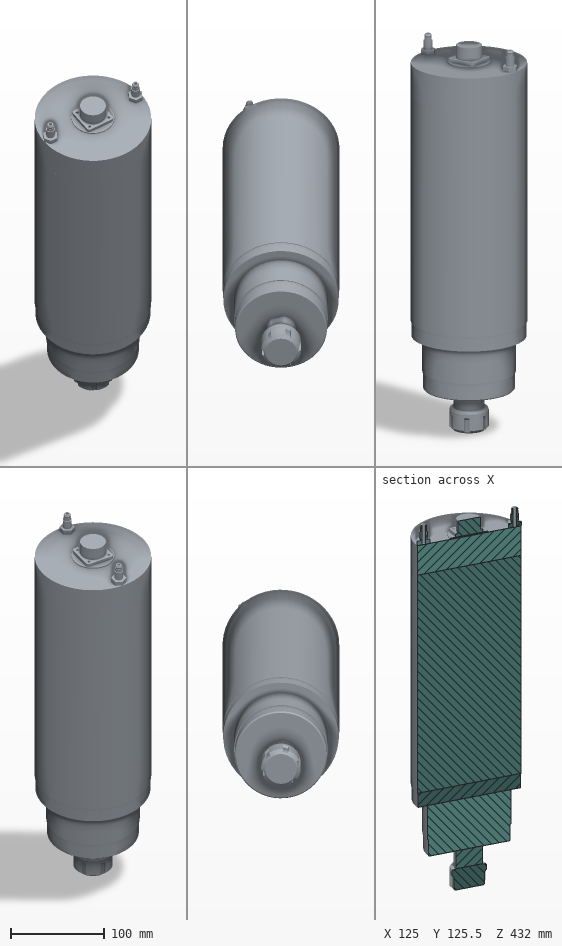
import cadquery as cq
import math

nut_top = 24.5
collar_top = 31.0
nose_bottom = 45.5
nose_step = 65.0
flange_bottom = 104.5
tube_bottom = 121.0
cap_bottom = 374.5
cap_top = 409.5
overall_height = 432.0

housing_diameter = 125.0
housing_radius = housing_diameter / 2
flange_radius = 61.8
nose_radius = 50.0
nose_tip_radius = 49.2
nose_tip_chamfer = 1.5

shaft_radius = 17.0
collar_radius = 16.5
shaft_across_flats = 30.2
shaft_flat_angle = 22.0

nut_radius = 21.0
nut_bottom_chamfer_height = 4.0
nut_bottom_chamfer_width = 4.5
nut_top_chamfer_height = 2.5
nut_top_chamfer_width = 1.0
slot_count = 6
slot_width = 6.0
slot_depth = 2.5
slot_height = 18.0

gasket_radius = 23.0
gasket_thickness = 1.5
plate_size = 33.0
plate_thickness = 4.0
plate_corner_radius = 2.5
plate_hole_diameter = 3.0
plate_hole_spacing = 24.5
socket_radius = 14.0
socket_top = 429.0

fitting_offset = 54.5
fitting_hex_across_flats = 14.3
fitting_hex_height = 5.0
hex_sides = 6
fitting_neck_radius = 4.5
fitting_body_radius = 4.8
fitting_body_bottom = 417.0
fitting_body_top = 424.5
fitting_stem_radius = 4.0
fitting_stem_top = 428.0
fitting_groove_radius = 3.5
fitting_tip_radius = 3.0
fitting_tip_bevel_height = 1.7
fitting_bore_radius = 1.7


def cylinder(radius, bottom, top):
    """Upright cylinder on the spindle axis."""
    return cq.Workplane("XY").workplane(offset=bottom).circle(radius).extrude(top - bottom)


def make_nose():
    """Stepped bearing nose with a small chamfer on its lower rim."""
    upper = cylinder(nose_radius, nose_step, flange_bottom)
    tip = cylinder(nose_tip_radius, nose_bottom, nose_step)
    tip = tip.faces("<Z").edges().chamfer(nose_tip_chamfer)
    return upper.union(tip)


def make_shaft():
    """Round shaft with two wrench flats above a slightly narrower collar."""
    collar = cylinder(collar_radius, nut_top, collar_top)
    flat_length = nose_bottom - collar_top
    flats = (
        cq.Workplane("XY")
        .workplane(offset=collar_top)
        .rect(2 * shaft_radius, shaft_across_flats)
        .extrude(flat_length)
        .rotate((0, 0, 0), (0, 0, 1), shaft_flat_angle)
    )
    return collar.union(cylinder(shaft_radius, collar_top, nose_bottom).intersect(flats))


def make_nut():
    """Collet nut with chamfered rims and spanner slots whose upper ends slope outward."""
    nut = (
        cq.Workplane("XZ")
        .moveTo(0, 0)
        .lineTo(nut_radius - nut_bottom_chamfer_width, 0)
        .lineTo(nut_radius, nut_bottom_chamfer_height)
        .lineTo(nut_radius, nut_top - nut_top_chamfer_height)
        .lineTo(nut_radius - nut_top_chamfer_width, nut_top)
        .lineTo(0, nut_top)
        .close()
        .revolve(360, (0, 0, 0), (0, 1, 0))
    )
    floor = nut_radius - slot_depth
    slot = (
        cq.Workplane("XZ")
        .moveTo(floor, 0)
        .lineTo(nut_radius, 0)
        .lineTo(nut_radius, slot_height)
        .lineTo(floor, slot_height - slot_depth)
        .close()
        .extrude(slot_width / 2, both=True)
    )
    first_slot_angle = 90
    for index in range(slot_count):
        angle = first_slot_angle + index * 360 / slot_count
        nut = nut.cut(slot.rotate((0, 0, 0), (0, 0, 1), angle))
    return nut


def make_connector():
    """Socket on a square plate with four screw holes."""
    plate_bottom = cap_top + gasket_thickness
    plate = (
        cq.Workplane("XY")
        .workplane(offset=plate_bottom)
        .rect(plate_size, plate_size)
        .extrude(plate_thickness)
        .edges("|Z")
        .fillet(plate_corner_radius)
        .faces(">Z")
        .workplane()
        .rect(plate_hole_spacing, plate_hole_spacing, forConstruction=True)
        .vertices()
        .hole(plate_hole_diameter)
    )
    return plate.union(cylinder(socket_radius, plate_bottom, socket_top))


def make_fitting(y):
    """Hose fitting with a bore through it: hexagon base, round body and barbed stem.

    Two corners of the hexagon point along Y.
    """
    hex_top = cap_top + fitting_hex_height
    hex_base = (
        cq.Workplane("XY")
        .workplane(offset=cap_top)
        .polygon(hex_sides, fitting_hex_across_flats / math.cos(math.pi / hex_sides))
        .extrude(fitting_hex_height)
        .rotate((0, 0, 0), (0, 0, 1), 90)
    )
    bevel_bottom = overall_height - fitting_tip_bevel_height
    stem = (
        cq.Workplane("XZ")
        .moveTo(0, hex_top)
        .lineTo(fitting_neck_radius, hex_top)
        .lineTo(fitting_neck_radius, fitting_body_bottom)
        .lineTo(fitting_body_radius, fitting_body_bottom)
        .lineTo(fitting_body_radius, fitting_body_top)
        .lineTo(fitting_stem_radius, fitting_body_top)
        .lineTo(fitting_stem_radius, fitting_stem_top)
        .lineTo(fitting_groove_radius, fitting_stem_top)
        .lineTo(fitting_stem_radius, bevel_bottom)
        .lineTo(fitting_tip_radius, overall_height)
        .lineTo(0, overall_height)
        .close()
        .revolve(360, (0, 0, 0), (0, 1, 0))
    )
    bore = cylinder(fitting_bore_radius, cap_top, overall_height)
    return hex_base.union(stem).cut(bore).translate((0, y, 0))


cap = cylinder(housing_radius, cap_bottom, cap_top)
tube = cylinder(housing_radius, tube_bottom, cap_bottom)
flange = cylinder(flange_radius, flange_bottom, tube_bottom)
nose = make_nose()
shaft = make_shaft()
nut = make_nut()
gasket = cylinder(gasket_radius, cap_top, cap_top + gasket_thickness)
connector = make_connector()
fittings = [make_fitting(side * fitting_offset) for side in (-1, 1)]

bodies = [cap, tube, flange, nose, shaft, nut, gasket, connector, *fittings]
result = cq.Compound.makeCompound([body.val() for body in bodies])